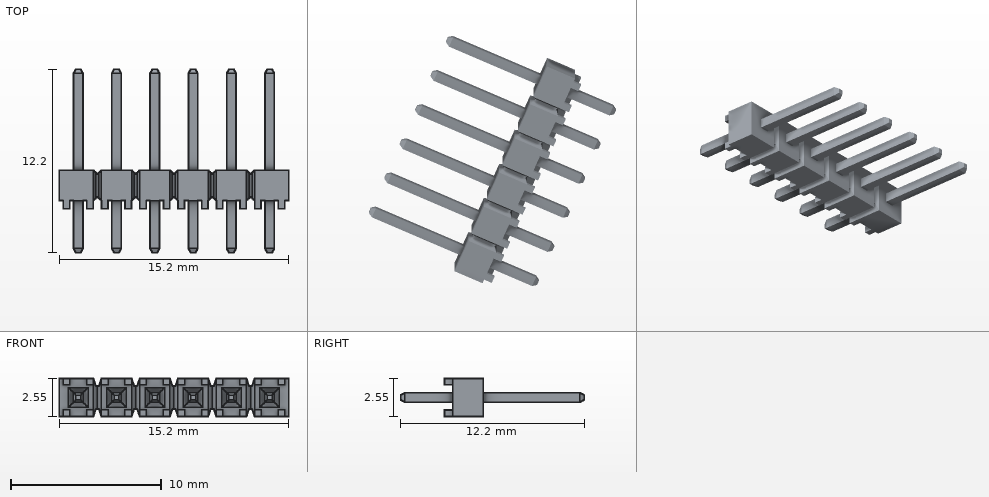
import cadquery as cq

pin_count = 6
row_length = 15.24
pitch = row_length / pin_count

body_height = 2.55
body_depth = 2.03
body_back = 0.0
body_front = body_back - body_depth

gap_width = 0.53
block_width = pitch - gap_width
face_groove_floor = 0.2
face_groove_depth = 0.5
vee_depth = 0.26

foot_size = 0.44
foot_length = 0.55

pin_size = 0.64
pin_length = 12.19
pin_back = 6.7
pin_front = pin_back - pin_length
tip_length = 0.29
tip_size = 0.32

recess_size = 1.3
recess_depth = 0.23
recess_floor = body_front + recess_depth

pin_positions = [(i - (pin_count - 1) / 2) * pitch for i in range(pin_count)]
groove_positions = [(i - pin_count / 2) * pitch for i in range(1, pin_count)]


def frustum(x, y_start, start_size, y_end, end_size):
    """Square frustum along Y, centred on the pin axis at x."""
    return (
        cq.Workplane("XZ", origin=(x, y_start, 0))
        .rect(start_size, start_size)
        .workplane(offset=y_start - y_end)
        .rect(end_size, end_size)
        .loft(ruled=True)
    )


def make_pin(x):
    back_shoulder = pin_back - tip_length
    front_shoulder = pin_front + tip_length
    shaft = frustum(x, back_shoulder, pin_size, front_shoulder, pin_size)
    back_tip = frustum(x, pin_back, tip_size, back_shoulder, pin_size)
    front_tip = frustum(x, front_shoulder, pin_size, pin_front, tip_size)
    return shaft.union(back_tip).union(front_tip)


def make_feet(x):
    """Four feet, one at each corner of the block around the pin."""
    foot_x = (block_width - foot_size) / 2
    foot_z = (body_height - foot_size) / 2
    corners = [(sx * foot_x, sz * foot_z) for sx in (-1, 1) for sz in (-1, 1)]
    return (
        cq.Workplane("XZ", origin=(x, body_front, 0))
        .pushPoints(corners)
        .rect(foot_size, foot_size)
        .extrude(foot_length)
    )


def make_grooves(x):
    """Trapezoidal grooves above and below, V grooves at front and back."""
    half_gap = gap_width / 2
    half_floor = face_groove_floor / 2
    cutters = cq.Workplane("XY")
    for side in (-1, 1):
        outer_z = side * body_height / 2
        floor_z = outer_z - side * face_groove_depth
        trapezoid = (
            cq.Workplane("XZ", origin=(x, body_back, 0))
            .moveTo(-half_gap, outer_z)
            .lineTo(half_gap, outer_z)
            .lineTo(half_floor, floor_z)
            .lineTo(-half_floor, floor_z)
            .close()
            .extrude(body_depth)
        )
        cutters = cutters.add(trapezoid)
    for face_y, inward in ((body_back, -1), (body_front, 1)):
        vee = (
            cq.Workplane("XY", origin=(x, 0, -body_height / 2))
            .moveTo(-half_gap, face_y)
            .lineTo(half_gap, face_y)
            .lineTo(0, face_y + inward * vee_depth)
            .close()
            .extrude(body_height)
        )
        cutters = cutters.add(vee)
    return cutters.combine()


body = cq.Workplane("XY").box(row_length, body_depth, body_height)
body = body.translate((0, (body_back + body_front) / 2, 0))

for groove_x in groove_positions:
    body = body.cut(make_grooves(groove_x))

for pin_x in pin_positions:
    body = body.cut(frustum(pin_x, recess_floor, pin_size, body_front, recess_size))
    body = body.union(make_feet(pin_x))
    body = body.union(make_pin(pin_x))

result = body